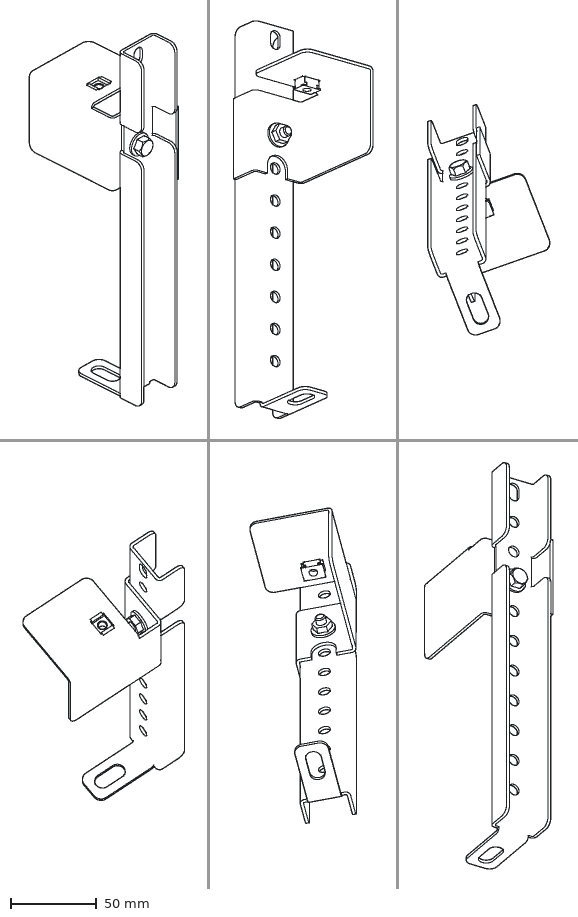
import cadquery as cq
import math


SHEET = 2.0
BEND_RADIUS = 3.0
BEND_INNER = BEND_RADIUS - SHEET
CORNER_RADIUS = 5.0
HOLE_DIAMETER = 7.0

HEIGHT = 240
CHANNEL_WIDTH = 30.0
CHANNEL_DEPTH = 19.0
HOLE_PITCH = HEIGHT / 12
HOLE_COUNT = 10
SLOT_LENGTH = 11.5
TOP_SLOT_Z = HEIGHT - 9.0
BOLT_Z = TOP_SLOT_Z - 3 * HOLE_PITCH
CUTOUT_HEIGHT = HOLE_PITCH

FOOT_WIDTH = 20.0
FOOT_REACH = 39.0
FOOT_BEND_INNER = 1.2
FOOT_BEND_OUTER = FOOT_BEND_INNER + SHEET
CHANNEL_BOTTOM = FOOT_BEND_OUTER
FOOT_SLOT_WIDTH = 9.0
FOOT_SLOT_LENGTH = 20.0
FOOT_SLOT_X = -24.0

BRACKET_REACH = 67.0
BRACKET_FLANGE = 18.0
PLATE_SIZE = 50.0
PLATE_TOP = 199.0
BRACKET_HEIGHT = 53.0
BRACKET_BOTTOM = PLATE_TOP - BRACKET_HEIGHT
WEB_TOP = PLATE_TOP - BEND_RADIUS
BRACKET_REAR = CHANNEL_WIDTH / 2 + SHEET
BRACKET_FRONT = -19.5
NOTCH_WIDTH = 15.0

THREAD_DIAMETER = 6.0
HEX_FLATS = 10.0
HEX_CORNERS = HEX_FLATS / math.cos(math.pi / 6)
FLANGE_DIAMETER = 14.5
FLANGE_RIM = 1.5
FLANGE_CONE = 0.6
BOLT_HEAD_HEIGHT = 7.2
NUT_HEIGHT = 5.8
SHANK_PROTRUSION = 10.0
SHANK_CHAMFER = 0.7
HEAD_CHAMFER = 1.0

CAGE_X = -29.5
CAGE_WIDTH = 8.0
CAGE_LENGTH = 13.0
CAGE_CORNER = 1.5
CAGE_DEPTH = 5.8
CORE_WIDTH = 9.4
CORE_LENGTH = 10.0
CORE_STEP = 3.4
CAGE_BASE = 0.7
CORE_FOOT_LENGTH = 7.2
RECESS_LENGTH = 8.6
CAGE_THREAD = 4.8
CAGE_COUNTERSINK = 5.8

ALL = 3 * HEIGHT


def box(x_range, y_range, z_range):
    sizes = [high - low for low, high in (x_range, y_range, z_range)]
    corner = (x_range[0], y_range[0], z_range[0])
    return cq.Workplane("XY").box(*sizes, centered=False).translate(corner)


def x_cylinder(diameter, x_range, z):
    plane = cq.Workplane("YZ", origin=(x_range[0], 0, z))
    return plane.circle(diameter / 2).extrude(x_range[1] - x_range[0])


def channel_profile():
    half = CHANNEL_WIDTH / 2
    outside = box((0, CHANNEL_DEPTH), (-half, half), (CHANNEL_BOTTOM, HEIGHT))
    inner_half = half - SHEET
    inside = box((SHEET, ALL), (-inner_half, inner_half), (CHANNEL_BOTTOM, HEIGHT))
    outside = outside.edges("|Z and <X").fillet(BEND_RADIUS)
    inside = inside.edges("|Z and <X").fillet(BEND_INNER)
    return outside.cut(inside)


def flange_piece(z_range):
    """Block with the side outline of one pair of flanges, used to trim the channel."""
    half = CHANNEL_WIDTH / 2
    block = box((0, CHANNEL_DEPTH), (-half, half), z_range)
    return block.edges("|Y and >X").fillet(CORNER_RADIUS)


def make_foot():
    half = FOOT_WIDTH / 2
    plate = box((-FOOT_REACH, -FOOT_BEND_INNER), (-half, half), (0, SHEET))
    plate = plate.edges("|Z and <X").fillet(CORNER_RADIUS)
    slot = (
        cq.Workplane("XY")
        .center(FOOT_SLOT_X, 0)
        .slot2D(FOOT_SLOT_LENGTH, FOOT_SLOT_WIDTH)
        .extrude(SHEET)
    )
    bend_centre = (-FOOT_BEND_INNER, 0, FOOT_BEND_OUTER)
    bend = (
        cq.Workplane("XZ", origin=bend_centre)
        .circle(FOOT_BEND_OUTER)
        .circle(FOOT_BEND_INNER)
        .extrude(half, both=True)
    )
    quarter = box((-FOOT_BEND_INNER, SHEET), (-half, half), (0, FOOT_BEND_OUTER))
    return plate.cut(slot).union(bend.intersect(quarter))


def make_channel():
    cutout_bottom = BOLT_Z
    cutout_top = cutout_bottom + CUTOUT_HEIGHT
    half_web = CHANNEL_WIDTH / 2 - BEND_RADIUS
    outline = flange_piece((CHANNEL_BOTTOM, cutout_bottom))
    outline = outline.union(flange_piece((cutout_top, HEIGHT)))
    web_strip = box((0, SHEET), (-half_web, half_web), (CHANNEL_BOTTOM, HEIGHT))
    channel = channel_profile().intersect(outline.union(web_strip))

    for number in range(1, HOLE_COUNT + 1):
        hole_z = TOP_SLOT_Z - number * HOLE_PITCH
        channel = channel.cut(x_cylinder(HOLE_DIAMETER, (0, SHEET), hole_z))
    top_slot = (
        cq.Workplane("YZ", origin=(0, 0, TOP_SLOT_Z))
        .slot2D(SLOT_LENGTH, HOLE_DIAMETER, 90)
        .extrude(SHEET)
    )
    return channel.cut(top_slot).union(make_foot())


def bracket_upright():
    """Z-shaped sheet: side plate toward -X, web on the channel, flange toward +X."""
    heights = (BRACKET_BOTTOM, WEB_TOP)
    side = box((-BRACKET_REACH, 0), (BRACKET_FRONT, BRACKET_REAR), heights)
    side = side.edges("|Z and >X and <Y").fillet(BEND_RADIUS)
    side_space = box((-ALL, -SHEET), (BRACKET_FRONT + SHEET, ALL), heights)
    side_space = side_space.edges("|Z and >X and <Y").fillet(BEND_INNER)

    flange = box((-SHEET, BRACKET_FLANGE), (BRACKET_FRONT, BRACKET_REAR), heights)
    flange = flange.edges("|Z and <X and >Y").fillet(BEND_RADIUS)
    flange_space = box((0, ALL), (-ALL, BRACKET_REAR - SHEET), heights)
    flange_space = flange_space.edges("|Z and <X and >Y").fillet(BEND_INNER)
    flange = flange.cut(flange_space).cut(box((-ALL, ALL), (-ALL, 0), heights))
    side = side.cut(side_space).cut(box((-ALL, ALL), (0, ALL), heights))

    corner = box((-BRACKET_REACH, ALL), (-ALL, ALL), (BRACKET_BOTTOM, ALL))
    corner = corner.edges("|Y and <X and <Z").fillet(CORNER_RADIUS)
    return side.union(flange).intersect(corner)


def bracket_plate():
    x_range = (-BRACKET_REACH, -BRACKET_REACH + PLATE_SIZE)
    y_range = (BRACKET_FRONT, BRACKET_FRONT + PLATE_SIZE)
    plate = box(x_range, y_range, (WEB_TOP - BEND_RADIUS, PLATE_TOP))
    plate = plate.edges("|X and <Y and >Z").fillet(BEND_RADIUS)
    plate = plate.edges("|Z and >Y").fillet(CORNER_RADIUS)
    space = box((-ALL, ALL), (BRACKET_FRONT + SHEET, ALL), (0, PLATE_TOP - SHEET))
    space = space.edges("|X and <Y and >Z").fillet(BEND_INNER)
    return plate.cut(space)


def make_bracket():
    bracket = bracket_upright().union(bracket_plate())
    web = (-SHEET, 0)
    notch_z = BOLT_Z - HOLE_PITCH
    notch = x_cylinder(NOTCH_WIDTH, web, notch_z)
    notch = notch.union(box(web, (-NOTCH_WIDTH / 2, NOTCH_WIDTH / 2), (0, notch_z)))
    bolt_hole = x_cylinder(HOLE_DIAMETER, web, BOLT_Z)
    return bracket.cut(notch).cut(bolt_hole).cut(cage_envelope())


def turned_solid(profile):
    """Solid of revolution about X from (x, radius) points."""
    outline = cq.Workplane("XY").polyline(profile).close()
    return outline.revolve(360, (0, 0, 0), (1, 0, 0))


def hexagon(height):
    return cq.Workplane("YZ").polygon(6, HEX_CORNERS).extrude(height)


def conical_flange():
    """Flange seated on the YZ plane, with its cone rising toward +X."""
    height = FLANGE_RIM + FLANGE_CONE
    return turned_solid([
        (0, 0),
        (0, FLANGE_DIAMETER / 2),
        (FLANGE_RIM, FLANGE_DIAMETER / 2),
        (height, HEX_FLATS / 2),
        (height, 0),
    ])


def make_bolt():
    corner_radius = HEX_CORNERS / 2
    chamfered_round = turned_solid([
        (0, 0),
        (0, corner_radius),
        (BOLT_HEAD_HEIGHT - HEAD_CHAMFER, corner_radius),
        (BOLT_HEAD_HEIGHT, corner_radius - HEAD_CHAMFER),
        (BOLT_HEAD_HEIGHT, 0),
    ])
    head = hexagon(BOLT_HEAD_HEIGHT).intersect(chamfered_round).union(conical_flange())
    head = head.translate((SHEET, 0, BOLT_Z))
    shank_end = -SHEET - SHANK_PROTRUSION
    shank = x_cylinder(THREAD_DIAMETER, (shank_end, SHEET), BOLT_Z)
    shank = shank.faces("<X").chamfer(SHANK_CHAMFER)
    return head.union(shank)


def make_nut():
    nut = hexagon(NUT_HEIGHT).union(conical_flange())
    nut = nut.rotate((0, 0, 0), (0, 0, 1), 180)
    nut = nut.translate((-SHEET, 0, BOLT_Z))
    return nut.cut(x_cylinder(THREAD_DIAMETER, (-ALL, 0), BOLT_Z))


def centred_block(width, length, z_range):
    """Block centred on the cage nut's axis."""
    x_range = (CAGE_X - width / 2, CAGE_X + width / 2)
    return box(x_range, (-length / 2, length / 2), z_range)


def cage_envelope():
    """Cage and core together, without the top recess and the thread."""
    plate_bottom = PLATE_TOP - SHEET
    cage_bottom = plate_bottom - CAGE_DEPTH
    base_top = cage_bottom + CAGE_BASE
    step_z = plate_bottom - CORE_STEP
    cage = centred_block(CAGE_WIDTH, CAGE_LENGTH, (cage_bottom, plate_bottom))
    cage = cage.edges("|Z").fillet(CAGE_CORNER)
    base = centred_block(CORE_WIDTH, CAGE_LENGTH, (cage_bottom, base_top))
    lips = centred_block(CAGE_WIDTH, CAGE_LENGTH, (plate_bottom, PLATE_TOP))
    core = centred_block(CORE_WIDTH, CORE_LENGTH, (step_z, PLATE_TOP))
    core_foot = centred_block(CORE_WIDTH, CORE_FOOT_LENGTH, (base_top, step_z))
    return cage.union(base).union(lips).union(core).union(core_foot)


def make_cage_nut():
    floor_z = PLATE_TOP - SHEET
    recess = centred_block(CORE_WIDTH, RECESS_LENGTH, (floor_z, PLATE_TOP))
    cage_nut = cage_envelope().cut(recess)

    countersink_depth = (CAGE_COUNTERSINK - CAGE_THREAD) / 2
    threaded_hole = (
        cq.Workplane("XZ", origin=(CAGE_X, 0, floor_z))
        .lineTo(CAGE_COUNTERSINK / 2, 0)
        .lineTo(CAGE_THREAD / 2, -countersink_depth)
        .lineTo(CAGE_THREAD / 2, -CAGE_DEPTH)
        .lineTo(0, -CAGE_DEPTH)
        .close()
        .revolve(360, (0, 0, 0), (0, 1, 0))
    )
    return cage_nut.cut(threaded_hole)


channel = make_channel()
bracket = make_bracket()
bolt = make_bolt()
nut = make_nut()
cage_nut = make_cage_nut()

result = cq.Compound.makeCompound(
    [channel.val(), bracket.val(), bolt.val(), nut.val(), cage_nut.val()]
)